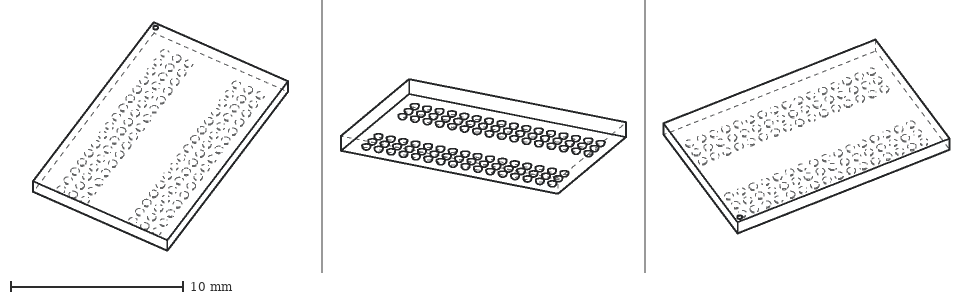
import cadquery as cq

BODY_WIDTH = 9.0
BODY_LENGTH = 14.0
TOTAL_HEIGHT = 1.2

BALL_RADIUS = 0.25
ROW_COUNT = 16
COLUMN_COUNT = 9
COLUMNS_PER_BANK = 3
ROW_SPAN = 12.0
BALL_PITCH = ROW_SPAN / (ROW_COUNT - 1)

MARKER_DIAMETER = 0.3
MARKER_INSET = 0.31
MARKER_DEPTH = 0.01

BODY_HEIGHT = TOTAL_HEIGHT - BALL_RADIUS


def make_body():
    """Plain rectangular body with its underside at Z = 0."""
    return cq.Workplane("XY").box(BODY_WIDTH, BODY_LENGTH, BODY_HEIGHT, centered=(True, True, False))


def grid_position(index, count):
    """Position of one row or column in a grid centered on the body."""
    return (index - (count - 1) / 2) * BALL_PITCH


def ball_centers():
    """Centers of the balls in the two banks, one along each long side."""
    left_bank = list(range(COLUMNS_PER_BANK))
    right_bank = list(range(COLUMN_COUNT - COLUMNS_PER_BANK, COLUMN_COUNT))
    return [
        (grid_position(column, COLUMN_COUNT), grid_position(row, ROW_COUNT))
        for column in left_bank + right_bank
        for row in range(ROW_COUNT)
    ]


def make_balls():
    """Spheres centered on the underside, so that half of each one stands out of the body."""
    ball = cq.Workplane("XY").sphere(BALL_RADIUS).val()
    return cq.Workplane("XY").pushPoints(ball_centers()).eachpoint(lambda place: ball.moved(place))


def make_marker():
    """Cutter for the pin-one recess."""
    return (
        cq.Workplane("XY", origin=(0, 0, BODY_HEIGHT - MARKER_DEPTH))
        .center(MARKER_INSET - BODY_WIDTH / 2, BODY_LENGTH / 2 - MARKER_INSET)
        .circle(MARKER_DIAMETER / 2)
        .extrude(MARKER_DEPTH)
    )


result = make_body().union(make_balls()).cut(make_marker())